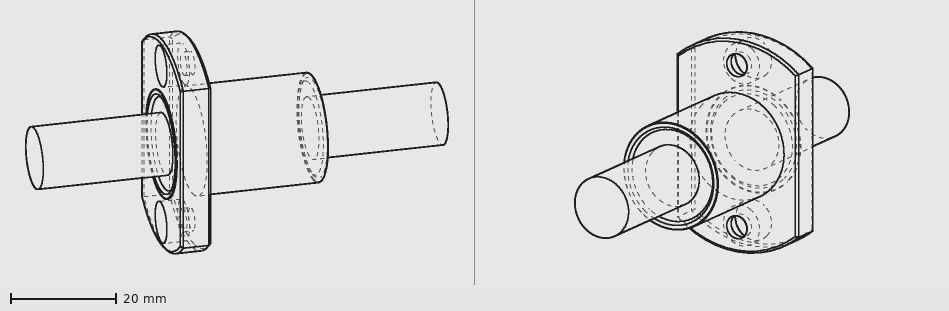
import cadquery as cq

shaft_length = 80
shaft_diameter = 12
sleeve_length = 30.0
sleeve_diameter = 21.0
sleeve_chamfer = 0.12

recess_mouth_diameter = 19.2
seal_diameter = 18.0
recess_depth = (recess_mouth_diameter - seal_diameter) / 2

flange_thickness = 6.0
flange_diameter = 42.0
flange_width = 27.0
flange_chamfer = 0.5

hole_spacing = 32
hole_diameter = 4.5
counterbore_diameter = 8
counterbore_depth = 4.4

front_y = -sleeve_length / 2
back_y = sleeve_length / 2


def cylinder_along_y(diameter, start_y, length, z=0):
    """Cylinder running from start_y towards +Y, centred at X = 0."""
    start = cq.Vector(0, start_y, z)
    return cq.Workplane(cq.Solid.makeCylinder(diameter / 2, length, start, cq.Vector(0, 1, 0)))


def make_flange():
    disc = cylinder_along_y(flange_diameter, front_y, flange_thickness)
    disc = disc.faces("<Y or >Y").chamfer(flange_chamfer)
    flats = cq.Workplane().box(flange_width, flange_thickness, flange_diameter)
    flats = flats.edges("|Z").chamfer(flange_chamfer)
    flange = disc.intersect(flats.translate((0, front_y + flange_thickness / 2, 0)))
    for z in (-hole_spacing / 2, hole_spacing / 2):
        flange = flange.cut(cylinder_along_y(hole_diameter, front_y, flange_thickness, z))
        flange = flange.cut(cylinder_along_y(counterbore_diameter, front_y, counterbore_depth, z))
    return flange.cut(cylinder_along_y(sleeve_diameter, front_y, flange_thickness))


def make_sleeve():
    sleeve = cylinder_along_y(sleeve_diameter, front_y, sleeve_length)
    sleeve = sleeve.faces("<Y or >Y").chamfer(sleeve_chamfer)
    for end_y, inward in ((front_y, 1), (back_y, -1)):
        recess = cq.Solid.makeCone(
            recess_mouth_diameter / 2,
            seal_diameter / 2,
            recess_depth,
            cq.Vector(0, end_y, 0),
            cq.Vector(0, inward, 0),
        )
        sleeve = sleeve.cut(cq.Workplane(recess))
    return sleeve


shaft = cylinder_along_y(shaft_diameter, -shaft_length / 2, shaft_length)
result = make_sleeve().union(make_flange()).union(shaft)